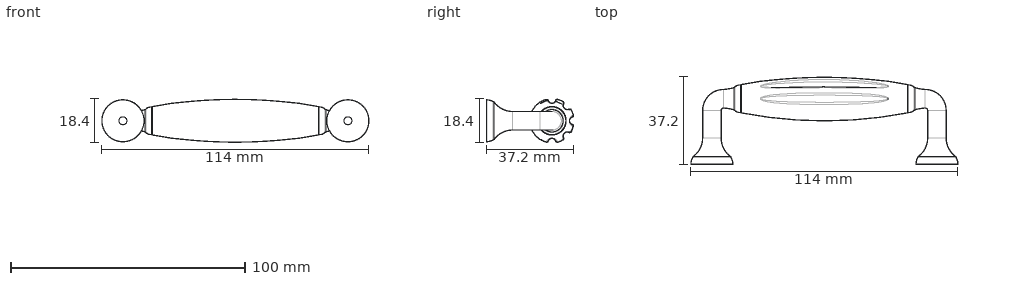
import cadquery as cq
import math

hole_spacing = 96.0
foot_radius = 9.0
grip_axis_y = 28.0
leg_x = hole_spacing / 2

pipe_radius = 4.0
bend_radius = 5.0
bend_start_y = grip_axis_y - bend_radius
neck_start_x = leg_x - bend_radius

rim_height = 0.2
bell_top_y = 2.85
bell_top_radius = 8.25
bell_bulge = 0.2
flare_start_y = 3.3
flare_start_radius = 8.1
flare_end_y = 11.2

grip_radius = 9.5
grip_end_x = 35.4
grip_end_radius = 6.1
collar_inner_x = 35.75
collar_inner_radius = 5.9
collar_outer_x = 38.2
collar_outer_radius = 5.0
collar_bulge = 0.35
neck_end_x = 38.6
neck_end_radius = 4.75
neck_sag = 0.1

flute_radius = 1.6
flute_floor_radius = 7.5
flute_length = 2 * grip_end_x
flute_rim_fillet = 0.8
flute_count = 5
flute_pitch_angle = 45.0

hole_radius = 1.7
hole_depth = 12.0
drill_point_angle = 118.0


def flare_arc_middle(start, end, radius):
    """Middle point of the arc that leaves `start` along -Y and flares out to `end`."""
    sweep = math.asin((start[1] - end[1]) / radius)
    half = sweep / 2
    return (start[0] + radius * (1 - math.cos(half)), start[1] - radius * math.sin(half))


def make_foot_and_leg():
    """Turned foot and straight leg, revolved about the Y axis."""
    flare_rise = flare_end_y - flare_start_y
    flare_spread = flare_start_radius - pipe_radius
    flare_radius = (flare_rise**2 + flare_spread**2) / (2 * flare_spread)
    flare_top = (pipe_radius, flare_end_y)
    flare_bottom = (flare_start_radius, flare_start_y)
    bell_middle = (
        (foot_radius + bell_top_radius) / 2 + bell_bulge,
        (rim_height + bell_top_y) / 2,
    )
    return (
        cq.Workplane("XY")
        .lineTo(foot_radius, 0)
        .lineTo(foot_radius, rim_height)
        .threePointArc(bell_middle, (bell_top_radius, bell_top_y))
        .lineTo(*flare_bottom)
        .threePointArc(flare_arc_middle(flare_top, flare_bottom, flare_radius), flare_top)
        .lineTo(pipe_radius, bend_start_y)
        .lineTo(0, bend_start_y)
        .close()
        .revolve(360, (0, 0), (0, 1))
    )


def make_elbow():
    """Quarter bend on the +X side, from the top of the leg round to the neck."""
    return (
        cq.Workplane("XZ", origin=(leg_x, bend_start_y, 0))
        .circle(pipe_radius)
        .revolve(90, (-bend_radius, 0), (-bend_radius, 1))
    )


def make_screw_hole():
    """Blind hole along Y, ending in a drilled point."""
    point_depth = hole_radius / math.tan(math.radians(drill_point_angle / 2))
    return (
        cq.Workplane("XY")
        .lineTo(hole_radius, 0)
        .lineTo(hole_radius, hole_depth)
        .lineTo(0, hole_depth + point_depth)
        .close()
        .revolve(360, (0, 0), (0, 1))
    )


def make_grip():
    """Barrel-shaped grip with a collar and a neck at each end, revolved about X."""
    neck_start = (neck_start_x, pipe_radius)
    neck_middle = (
        (neck_end_x + neck_start_x) / 2,
        (neck_end_radius + pipe_radius) / 2 - neck_sag,
    )
    neck_end = (neck_end_x, neck_end_radius)
    collar_outer = (collar_outer_x, collar_outer_radius)
    collar_middle = (
        (collar_inner_x + collar_outer_x) / 2,
        (collar_inner_radius + collar_outer_radius) / 2 + collar_bulge,
    )
    collar_inner = (collar_inner_x, collar_inner_radius)
    grip_end = (grip_end_x, grip_end_radius)

    def left(point):
        return (-point[0], point[1])

    profile = (
        cq.Workplane("XY")
        .moveTo(-neck_start_x, 0)
        .lineTo(*left(neck_start))
        .threePointArc(left(neck_middle), left(neck_end))
        .lineTo(*left(collar_outer))
        .threePointArc(left(collar_middle), left(collar_inner))
        .lineTo(*left(grip_end))
        .threePointArc((0, grip_radius), grip_end)
        .lineTo(*collar_inner)
        .threePointArc(collar_middle, collar_outer)
        .lineTo(*neck_end)
        .threePointArc(neck_middle, neck_start)
        .lineTo(neck_start_x, 0)
        .close()
    )
    return profile.revolve(360, (0, 0), (1, 0)).rotate((0, 0, 0), (1, 0, 0), 180)


def cut_flutes(grip):
    """Cut the flutes around the half of the grip that faces +Y and round their rims."""
    flute_axis_radius = flute_floor_radius + flute_radius
    for index in range(flute_count):
        angle = index * flute_pitch_angle
        flute = (
            cq.Workplane("YZ")
            .center(0, flute_axis_radius)
            .circle(flute_radius)
            .extrude(flute_length / 2, both=True)
            .rotate((0, 0, 0), (1, 0, 0), -angle)
        )
        grip = grip.cut(flute)
    return grip.edges("not(%LINE or %CIRCLE)").fillet(flute_rim_fillet)


def make_right_support():
    """Foot, leg, elbow and screw hole on the +X side."""
    leg = make_foot_and_leg().cut(make_screw_hole()).translate((leg_x, 0, 0))
    return leg.union(make_elbow())


grip = cut_flutes(make_grip()).translate((0, grip_axis_y, 0))
right_support = make_right_support()
left_support = right_support.mirror("YZ")
result = grip.union(right_support).union(left_support)